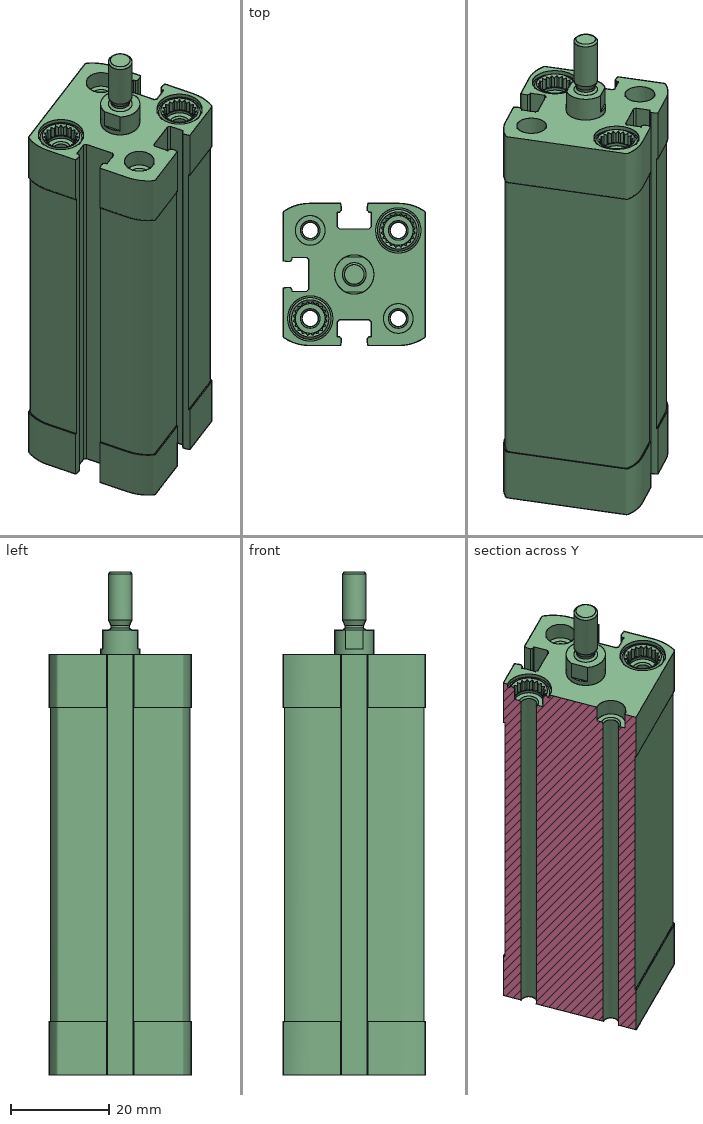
import cadquery as cq
import math

width = 29.0
total_height = 102.5
housing_height = 85.7
cap_height = 10.9
barrel_inset = 0.26
corner_radius = 9.2
arc_start = 9.1
corner_fillet = 0.6

slot_mouth = 5.5
slot_throat = 5.2
slot_taper_depth = 0.8
slot_width = 6.9
slot_lip = 1.4
slot_depth = 5.2
slot_corner = 0.4

hole_spacing = 17.9
through_diameter = 3.3
lead_in_diameter = 4.0
counterbore_diameter = 6.0
counterbore_depth = 3.7

socket_diameter = 9.2
groove_inner_diameter = 8.5
groove_depth = 0.8
crest_diameter = 7.6
crest_depth = 0.3
flute_diameter = 7.0
flute_count = 20
flute_depth = 3.1

collar_diameter = 8.0
collar_height = 4.9
flats_width = 7.2
flats_base = 1.1
thread_diameter = 4.8
thread_chamfer = 0.4
thread_start = 7.0
neck_diameter = 3.8
neck_top = 5.8
neck_bottom = 5.3


def prism(inset, height):
    """Housing outline, moved inward by inset, with arcs at its corners; extruded upward from Z = 0."""
    half = width / 2 - inset
    radius = corner_radius - inset
    center_y = half - radius
    side_y = center_y + math.sqrt(radius**2 - (half - arc_start) ** 2)
    mid_angle = (math.pi / 2 + math.atan2(side_y - center_y, half - arc_start)) / 2
    mid_x = arc_start + radius * math.cos(mid_angle)
    mid_y = center_y + radius * math.sin(mid_angle)
    return (
        cq.Workplane("XY")
        .moveTo(-arc_start, -half)
        .lineTo(arc_start, -half)
        .threePointArc((mid_x, -mid_y), (half, -side_y))
        .lineTo(half, side_y)
        .threePointArc((mid_x, mid_y), (arc_start, half))
        .lineTo(-arc_start, half)
        .threePointArc((-mid_x, mid_y), (-half, side_y))
        .lineTo(-half, -side_y)
        .threePointArc((-mid_x, -mid_y), (-arc_start, -half))
        .close()
        .extrude(height)
        .edges("|Z and (<X or >X)")
        .fillet(corner_fillet)
    )


def slot_cutter(angle):
    """T-slot open toward +X, turned about Z, with a slightly tapered mouth and chamfered corners."""
    face = width / 2
    half_outline = [
        (face, slot_mouth / 2),
        (face - slot_taper_depth, slot_throat / 2),
        (face - slot_lip, slot_throat / 2),
        (face - slot_lip - slot_corner, slot_throat / 2 + slot_corner),
        (face - slot_lip - slot_corner, slot_width / 2),
        (face - slot_depth + slot_corner, slot_width / 2),
        (face - slot_depth, slot_width / 2 - slot_corner),
    ]
    mirrored_outline = [(x, -y) for x, y in reversed(half_outline)]
    slot = cq.Workplane("XY").polyline(half_outline + mirrored_outline).close().extrude(housing_height)
    return slot.rotate((0, 0, 0), (0, 0, 1), angle)


def mounting_hole_cutter():
    """Through hole with a conical lead-in and a counterbore from the top."""
    floor = housing_height - counterbore_depth
    lead_in = (lead_in_diameter - through_diameter) / 2
    return (
        cq.Workplane("XZ")
        .moveTo(0, 0)
        .lineTo(through_diameter / 2, 0)
        .lineTo(through_diameter / 2, floor - lead_in)
        .lineTo(lead_in_diameter / 2, floor)
        .lineTo(counterbore_diameter / 2, floor)
        .lineTo(counterbore_diameter / 2, housing_height)
        .lineTo(0, housing_height)
        .close()
        .revolve(360, (0, 0, 0), (0, 1, 0))
    )


def socket_cutter():
    """Ring groove, sloping crest and serrated wall around a counterbore."""
    top = housing_height
    rim = (
        cq.Workplane("XZ")
        .moveTo(0, top)
        .lineTo(socket_diameter / 2, top)
        .lineTo(socket_diameter / 2, top - groove_depth)
        .lineTo(groove_inner_diameter / 2, top - groove_depth)
        .lineTo(crest_diameter / 2, top - crest_depth)
        .lineTo(counterbore_diameter / 2, top - groove_depth)
        .lineTo(0, top - groove_depth)
        .close()
        .revolve(360, (0, 0, 0), (0, 1, 0))
    )
    points = []
    for index in range(2 * flute_count):
        radius = (flute_diameter if index % 2 else counterbore_diameter) / 2
        angle = math.pi * index / flute_count
        points.append((radius * math.cos(angle), radius * math.sin(angle)))
    flutes = cq.Workplane("XY", origin=(0, 0, top - flute_depth)).polyline(points).close().extrude(flute_depth)
    return rim.union(flutes)


def make_housing():
    cap = prism(0, cap_height)
    barrel = prism(barrel_inset, housing_height - 2 * cap_height).translate((0, 0, cap_height))
    housing = cap.union(barrel).union(cap.translate((0, 0, housing_height - cap_height)))
    for angle in (90, 180, 270):
        housing = housing.cut(slot_cutter(angle))
    for x_side in (-1, 1):
        for y_side in (-1, 1):
            place = (x_side * hole_spacing / 2, y_side * hole_spacing / 2, 0)
            housing = housing.cut(mounting_hole_cutter().translate(place))
            if x_side == y_side:
                housing = housing.cut(socket_cutter().translate(place))
    return housing


def make_rod():
    """Rod standing on the housing, with a collar with two flats, a neck and a threaded end."""
    rod_height = total_height - housing_height
    rod = (
        cq.Workplane("XZ")
        .moveTo(0, 0)
        .lineTo(collar_diameter / 2, 0)
        .lineTo(collar_diameter / 2, collar_height)
        .lineTo(thread_diameter / 2, collar_height)
        .lineTo(neck_diameter / 2, neck_bottom)
        .lineTo(neck_diameter / 2, neck_top)
        .lineTo(thread_diameter / 2, thread_start)
        .lineTo(thread_diameter / 2, rod_height - thread_chamfer)
        .lineTo(thread_diameter / 2 - thread_chamfer, rod_height)
        .lineTo(0, rod_height)
        .close()
        .revolve(360, (0, 0, 0), (0, 1, 0))
    )
    for side in (-1, 1):
        flat = cq.Workplane("XY").box(
            collar_diameter, collar_diameter, collar_height - flats_base, centered=(True, True, False)
        )
        rod = rod.cut(flat.translate((0, side * (flats_width + collar_diameter) / 2, flats_base)))
    return rod.translate((0, 0, housing_height))


housing = make_housing()
rod = make_rod()
result = cq.Compound.makeCompound([housing.val(), rod.val()])